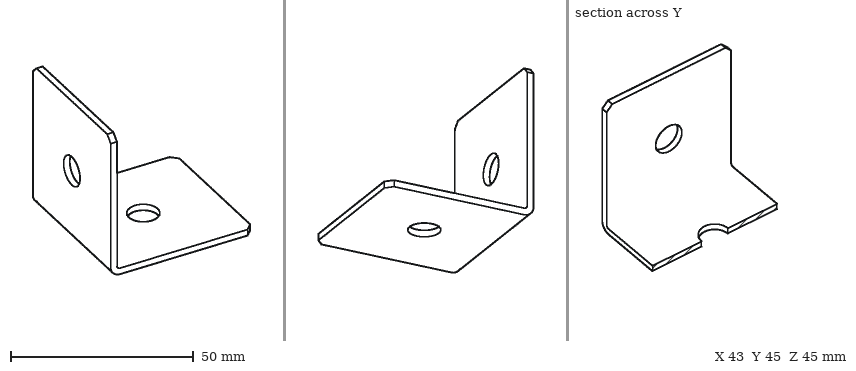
import cadquery as cq

leg = 45.0
width = 43.0
thickness = 2.0
inner_radius = 1.0
hole_diameter = 9.0
corner_chamfer = 2.0

outer_radius = inner_radius + thickness
hole_position = leg / 2


def bent_sheet():
    """L-shaped sheet: floor on Z = 0, upright wall on Y = 0, centred on X."""
    block = cq.Workplane("XY").box(width, leg, leg, centered=(True, False, False))
    block = block.edges("|X and <Y and <Z").fillet(outer_radius)
    inside = (
        cq.Workplane("XY")
        .box(width, leg, leg, centered=(True, False, False))
        .translate((0, thickness, thickness))
        .edges("|X and <Y and <Z")
        .fillet(inner_radius)
    )
    return block.cut(inside)


def chamfer_free_corners(sheet):
    """Clip the two end corners of the wall and of the floor."""
    sheet = sheet.faces(">Z").edges("|Y").chamfer(corner_chamfer)
    return sheet.faces(">Y").edges("|Z").chamfer(corner_chamfer)


def leg_holes():
    """One through hole in the middle of each leg."""
    radius = hole_diameter / 2
    floor_hole = cq.Workplane("XY").center(0, hole_position).circle(radius).extrude(thickness)
    wall_hole = cq.Workplane("XZ").center(0, hole_position).circle(radius).extrude(-thickness)
    return floor_hole.union(wall_hole)


result = chamfer_free_corners(bent_sheet()).cut(leg_holes())